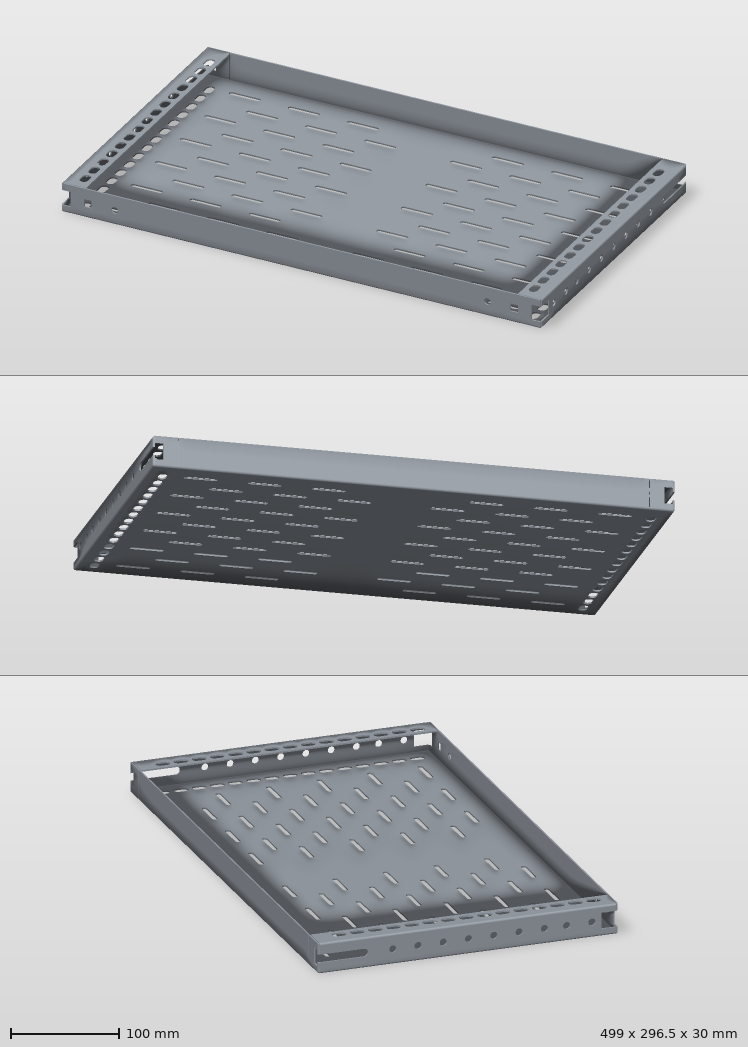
import cadquery as cq

length = 499.0
width = 296.5
height = 30.0
thickness = 1.5
bend_radius = 2.0
inner_radius = bend_radius - thickness
inner_length = length - 2 * thickness
inner_width = width - 2 * thickness
mid_height = height / 2

flange_width = 25.0

front_setback = 1.25
rear_slit_width = 1.0
rear_slit_x = 225.0
flange_gap = 0.5
flange_gap_y = (inner_width - flange_gap) / 2

floor_slot_length = 32.5
floor_slot_width = 5.0
floor_slot_pitch = 61.5
floor_slots_per_side = 3
floor_row_pitch = 25.0
floor_row_count = 11
outer_slot_x = 198.0

edge_slot_length = 14.0
edge_slot_width = 8.5
edge_slot_pitch = 18.0
edge_slot_count = 15
edge_slot_x = 233.5
edge_slot_center_y = -4.25

side_hole_diameter = 7.0
side_hole_pitch = 25.0
side_hole_count = 7
side_hole_center_y = -0.5
front_pair_y = -122.5
side_slot_width = 8.0
side_slot_end_y = 99.0

square_hole_size = 8.0
square_hole_x = 221.5
round_hole_diameter = 7.0
round_hole_x = 193.5

notch_height = 16.0
notch_length_x = 10.0
notch_length_y = 16.5


def centered_positions(count, pitch, center=0.0):
    """Coordinates of evenly spaced features about a center."""
    return [center + (i - (count - 1) / 2) * pitch for i in range(count)]


def mirrored_points(x, y):
    """The same point on the left and on the right of the tray."""
    return [(-x, y), (x, y)]


def rounded_block(block_length, block_width, block_height, radius, base_z):
    """Block with rounded bends; its top front, top rear and upright front edges stay sharp."""
    return (
        cq.Workplane("XY", origin=(0, 0, base_z))
        .box(block_length, block_width, block_height, centered=(True, True, False))
        .edges("<Z or (>Z and |Y) or (>Y and |Z)")
        .fillet(radius)
    )


def make_shell():
    """Open tray: floor, four walls and the two side flanges."""
    outer = rounded_block(length, width, height, bend_radius, 0)
    cavity = rounded_block(inner_length, inner_width, height - 2 * thickness, inner_radius, thickness)
    mouth = cq.Workplane("XY", origin=(0, 0, mid_height)).box(
        length - 2 * flange_width, inner_width, height, centered=(True, True, False)
    )
    return outer.cut(cavity).cut(mouth)


def sheet_clearances():
    """Steps, slits and gaps where separately folded sheets meet."""
    front_steps = (
        cq.Workplane("XY", origin=(0, -width / 2, mid_height))
        .pushPoints(mirrored_points(length / 2, 0))
        .box(2 * front_setback, 2 * thickness, 2 * height)
    )
    rear_slits = (
        cq.Workplane("XY", origin=(0, width / 2, bend_radius))
        .pushPoints(mirrored_points(rear_slit_x, 0))
        .box(rear_slit_width, 2 * bend_radius, height, centered=(True, True, False))
    )
    gap_points = mirrored_points(length / 2, -flange_gap_y) + mirrored_points(length / 2, flange_gap_y)
    flange_gaps = (
        cq.Workplane("XY", origin=(0, 0, height))
        .pushPoints(gap_points)
        .box(2 * flange_width, flange_gap, 2 * bend_radius)
    )
    return front_steps.union(rear_slits).union(flange_gaps)


def floor_slots():
    """Slots in rows, every second row shifted inward by half a pitch."""
    points = []
    for row, y in enumerate(centered_positions(floor_row_count, floor_row_pitch)):
        shift = (row % 2) * floor_slot_pitch / 2
        for column in range(floor_slots_per_side):
            points += mirrored_points(outer_slot_x - shift - column * floor_slot_pitch, y)
    return (
        cq.Workplane("XY")
        .pushPoints(points)
        .slot2D(floor_slot_length, floor_slot_width)
        .extrude(mid_height)
    )


def edge_slots():
    """A row of short slots along each side, through flange and floor."""
    points = []
    for y in centered_positions(edge_slot_count, edge_slot_pitch, edge_slot_center_y):
        points += mirrored_points(edge_slot_x, y)
    return (
        cq.Workplane("XY")
        .pushPoints(points)
        .slot2D(edge_slot_length, edge_slot_width, 90)
        .extrude(height)
    )


def side_wall_openings():
    """Round holes through both side walls and a slot in each, open to the rear."""
    hole_positions = centered_positions(side_hole_count, side_hole_pitch, side_hole_center_y)
    hole_positions += [front_pair_y, front_pair_y + side_hole_pitch]
    holes = (
        cq.Workplane("YZ")
        .pushPoints([(y, mid_height) for y in hole_positions])
        .circle(side_hole_diameter / 2)
        .extrude(length, both=True)
    )
    slot_length = 2 * (width / 2 - side_slot_end_y)
    slot = (
        cq.Workplane("YZ")
        .center(width / 2, mid_height)
        .slot2D(slot_length, side_slot_width)
        .extrude(length, both=True)
    )
    between_walls = cq.Workplane("XY").box(length - 2 * bend_radius, 2 * width, 2 * height)
    return holes.union(slot.cut(between_walls))


def front_wall_openings():
    """A square and a round hole near each end of the front wall."""
    front_face = cq.Workplane("XZ", origin=(0, -width / 2, 0))
    squares = (
        front_face.pushPoints(mirrored_points(square_hole_x, mid_height))
        .rect(square_hole_size, square_hole_size)
        .extrude(2 * thickness, both=True)
    )
    rounds = (
        front_face.pushPoints(mirrored_points(round_hole_x, mid_height))
        .circle(round_hole_diameter / 2)
        .extrude(2 * thickness, both=True)
    )
    return squares.union(rounds)


def corner_notches():
    """Notches around the front corners and beside the rear corner bends."""
    front = (
        cq.Workplane("XY", origin=(0, -width / 2, mid_height))
        .pushPoints(mirrored_points(length / 2, 0))
        .box(2 * notch_length_x, 2 * notch_length_y, notch_height)
    )
    rear_length = notch_length_x - bend_radius
    rear_x = length / 2 - bend_radius - rear_length / 2
    rear = (
        cq.Workplane("XY", origin=(0, width / 2, mid_height))
        .pushPoints(mirrored_points(rear_x, 0))
        .box(rear_length, 2 * bend_radius, notch_height)
    )
    return front.union(rear)


result = (
    make_shell()
    .cut(sheet_clearances())
    .cut(floor_slots())
    .cut(edge_slots())
    .cut(side_wall_openings())
    .cut(front_wall_openings())
    .cut(corner_notches())
)